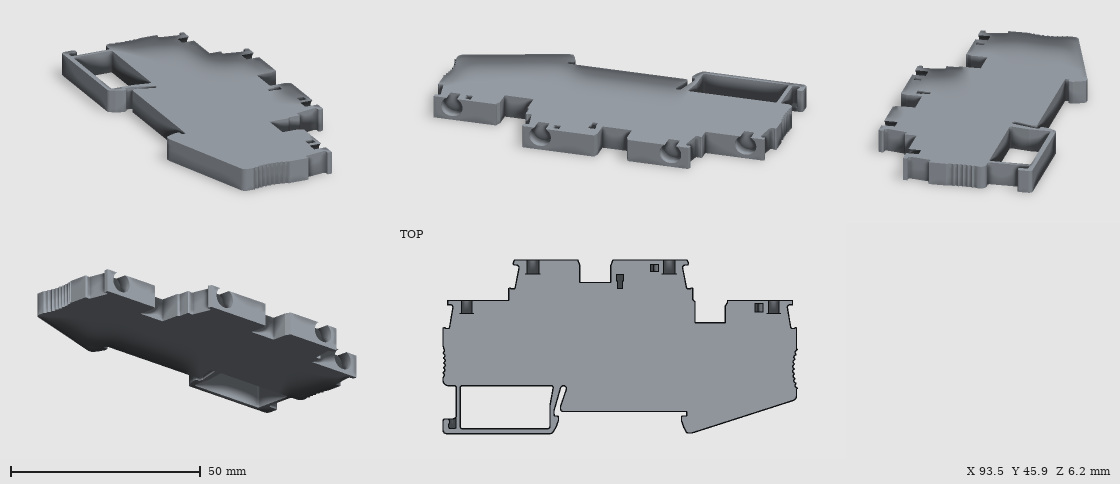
import cadquery as cq
import math

LENGTH = 93.53
HEIGHT = 45.85
THICKNESS = 6.2
FLOOR = 1.1

UPPER_TIER = HEIGHT
LOWER_TIER = 35.18
UPPER_SHOULDER = 38.3
TIER_NOTCH_DEPTH = 5.9
NOTCH_LEAD_WIDTH = 0.55
NOTCH_LEAD_DEPTH = 1.5
STEP_CHAMFER_TOP = 35.3
STEP_CHAMFER_BOTTOM = 34.85
SIDE_TOP = 27.84
BODY_BOTTOM = 12.65
RAIL_SEAT = 5.85
CLAW_TOP = 4.72

RIGHT_SIDE = 93.3
UPPER_HOOK_LEFT = 18.45
UPPER_HOOK_RIGHT = 64.84
LOWER_HOOK_LEFT = 1.22
LOWER_HOOK_RIGHT = 92.25
STEP_LEFT = 17.35
STEP_RIGHT = 65.95
UPPER_NOTCH = (36.15, 44.25)
LOWER_NOTCH = (66.5, 74.45)
CLAW_LEFT = 30.5
CLAW_RIGHT = 62.86
SEAT_LEFT = 31.0
SEAT_RIGHT = 64.3

SLOPE_BOTTOM = 0.2
SLOPE_START = 65.75
SLOPE_END_LEVEL = 9.05
SLOPE_TOE_RADIUS = 0.6
SLOPE_START_RADIUS = 0.8
SLOPE_END_RADIUS = 1.5

FOOT_WALL = (3.5, 4.6)
FOOT_BAR = 1.37
FOOT_INNER_RIGHT = 28.18
FOOT_KINK = 7.33
FOOT_LEAN = 0.97
FOOT_CORNER = 0.5
TOE_TOP = 3.94
TOE_LIP = 1.42
TOE_BULGE = 0.3
TOE_BULGE_LEVELS = (3.84, 3.54, 2.84, 2.34)
TOE_BULGE_RADIUS = 0.2
TOE_ROOT_RADIUS = 0.7
TOE_FILLET = 0.9
TOE_CORNER = 0.6
FOOT_OUTER_CORNER = 1.0
FOOT_BAR_END = 28.75
BODY_CORNER = 1.5
SLOT_BOTTOM = (29.3, 6.0)
SLOT_TOP = (31.2, 32.85)
SLOT_BEND = 7.3
SLOT_END_RADIUS = 0.75
SEAT_CORNER = 0.7

TOOTH_PITCH = 1.275
TOOTH_DEPTH = 0.62
TOOTH_ROOT_RADIUS = 0.45
LEFT_GRIP_BOTTOM = 16.15
LEFT_GRIP_TEETH = 4
LEFT_GRIP_SAG = 0.15
LEFT_RAMP_BOTTOM = 14.7
LEFT_RAMP_TOP = 23.2
LEFT_RAMP_DEPTH = 0.4
LEFT_RAMP_GAP = 0.6
RIGHT_GRIP_BOTTOM = 12.0
RIGHT_GRIP_TEETH = 8
RIGHT_GRIP_SAG = 0.85
END_TIP_WIDTH = 0.15

ENTRY_FLAT = 0.56
UPPER_ENTRY_DEPTH = 3.65
LOWER_ENTRY_DEPTH = 3.4
UPPER_ENTRY_CHORD = 1.27
LOWER_ENTRY_CHORD = 1.13
UPPER_ENTRIES = (23.75, 59.7)
LOWER_ENTRIES = (6.28, 87.25)

WINDOW_OFFSET = 3.86
WINDOW_WIDTH = 2.1
WINDOW_FLOOR = THICKNESS / 2
WINDOW_SKIN_RADIUS = 4.2
WINDOW_UPPER = (42.75, 44.7)
WINDOW_LOWER = (32.05, 34.3)

POCKET_CENTRE = 46.7
POCKET_LEVELS = (38.3, 40.35, 41.95)
POCKET_STEM_WIDTH = 1.4
POCKET_HEAD_WIDTH = 1.97


def rounded_wire(corners):
    """Closed wire through (x, y) or (x, y, radius) corners, rounding the ones with a radius."""
    stretches = []
    for i, corner in enumerate(corners):
        point = cq.Vector(corner[0], corner[1])
        radius = corner[2] if len(corner) > 2 else 0
        if not radius:
            stretches.append((point,))
            continue
        before = corners[i - 1]
        after = corners[(i + 1) % len(corners)]
        to_before = (cq.Vector(before[0], before[1]) - point).normalized()
        to_after = (cq.Vector(after[0], after[1]) - point).normalized()
        half_angle = to_before.getAngle(to_after) / 2
        setback = radius / math.tan(half_angle)
        bisector = (to_before + to_after).normalized()
        middle = point + bisector * (radius / math.sin(half_angle) - radius)
        stretches.append((point + to_before * setback, middle, point + to_after * setback))

    path = cq.Workplane("XY").moveTo(*stretches[0][-1].toTuple()[:2])
    for stretch in stretches[1:] + stretches[:1]:
        path = path.lineTo(*stretch[0].toTuple()[:2])
        if len(stretch) > 1:
            path = path.threePointArc(stretch[1].toTuple()[:2], stretch[2].toTuple()[:2])
    return path.close()


def prism(corners, bottom, top):
    """Upright solid with the given outline between two heights."""
    return rounded_wire(corners).extrude(top - bottom).translate((0, 0, bottom))


def recess_block(centre, width, levels, floor):
    """Box centred on X = centre, spanning the two Y levels, from a floor height to the top face."""
    block = cq.Workplane("XY").box(
        width, levels[1] - levels[0], THICKNESS - floor, centered=(True, False, False)
    )
    return block.translate((centre, levels[0], floor))


def upper_hook(tip, inward):
    """Latch nose of the upper tier, from its top face down to the shoulder."""
    profile = [
        (0.42, 0.0, 0),
        (0.0, 0.95, 0.15),
        (0.3, 1.4, 0),
        (1.74, 1.4, 0.6),
        (0.52, 7.6, 0.3),
        (-0.5, 7.55, 0),
        (-0.75, 7.3, 0.15),
    ]
    return [(tip + inward * dx, UPPER_TIER - drop, radius) for dx, drop, radius in profile]


def lower_hook(tip, inward):
    """Latch nose of the lower tier, from its top face down to the side shoulder."""
    profile = [
        (0.0, 0.0, 0),
        (0.0, 1.2, 0),
        (1.5, 1.2, 0.6),
        (0.45, 7.4, 0.3),
        (-0.5, 7.4, 0),
        (-0.75, 7.1, 0.15),
    ]
    return [(tip + inward * dx, LOWER_TIER - drop, radius) for dx, drop, radius in profile]


def claw(nose, inward):
    """Rail claw from the slot above it down to its toe."""
    profile = [
        (1.1, CLAW_TOP, 0),
        (0.0, CLAW_TOP, 0.45),
        (0.0, 3.5, 0.5),
        (0.65, 1.7, 0.8),
    ]
    return [(nose + inward * dx, y, radius) for dx, y, radius in profile]


def grip(side, inward, bottom, teeth, sag):
    """Zigzag whose tips lie on a shallow hollow of the given sag, from bottom to top."""
    points = []
    for half_step in range(2 * teeth + 1):
        position = half_step / teeth - 1
        hollow = sag * (1 - position ** 2)
        is_root = half_step % 2 == 1
        x = side + inward * (hollow + (TOOTH_DEPTH if is_root else 0))
        points.append((x, bottom + half_step * TOOTH_PITCH / 2, TOOTH_ROOT_RADIUS if is_root else 0))
    return points


def plate_outline():
    """Whole outer outline, counterclockwise from the left end of the upper tier."""
    left_top = upper_hook(UPPER_HOOK_LEFT, 1)
    right_top = upper_hook(UPPER_HOOK_RIGHT, -1)
    left_low = lower_hook(LOWER_HOOK_LEFT, 1)
    right_low = lower_hook(LOWER_HOOK_RIGHT, -1)
    left_grip = grip(0, 1, LEFT_GRIP_BOTTOM, LEFT_GRIP_TEETH, LEFT_GRIP_SAG)
    right_grip = grip(LENGTH, -1, RIGHT_GRIP_BOTTOM, RIGHT_GRIP_TEETH, RIGHT_GRIP_SAG)
    upper_notch_floor = UPPER_TIER - TIER_NOTCH_DEPTH
    lower_notch_floor = LOWER_TIER - TIER_NOTCH_DEPTH

    corners = []
    corners += left_top
    corners += [(STEP_LEFT, UPPER_SHOULDER), (STEP_LEFT, LOWER_TIER)]
    corners += left_low
    corners += [(0, SIDE_TOP)]
    corners += [(0, LEFT_RAMP_TOP), (LEFT_RAMP_DEPTH, left_grip[-1][1] + LEFT_RAMP_GAP)]
    corners += left_grip[::-1]
    corners += [(LEFT_RAMP_DEPTH, LEFT_GRIP_BOTTOM - LEFT_RAMP_GAP), (0, LEFT_RAMP_BOTTOM)]
    corners += [(0, BODY_BOTTOM, BODY_CORNER), (FOOT_WALL[0], BODY_BOTTOM, FOOT_CORNER)]
    corners += [(FOOT_WALL[0], TOE_TOP, TOE_FILLET), (0, TOE_TOP, TOE_CORNER)]
    corners += [(0, 0, FOOT_OUTER_CORNER), (FOOT_BAR_END, 0, FOOT_OUTER_CORNER)]
    corners += claw(CLAW_LEFT, -1)[::-1]
    corners += [SLOT_BOTTOM]
    corners += [(x, BODY_BOTTOM, SLOT_END_RADIUS) for x in SLOT_TOP]
    corners += [(SEAT_LEFT, SLOT_BEND), (SEAT_LEFT, RAIL_SEAT, SEAT_CORNER)]
    corners += [(SEAT_RIGHT, RAIL_SEAT), (SEAT_RIGHT, CLAW_TOP)]
    corners += claw(CLAW_RIGHT, 1)[1:]
    corners += [(SEAT_RIGHT, SLOPE_BOTTOM, SLOPE_TOE_RADIUS)]
    corners += [(SLOPE_START, SLOPE_BOTTOM, SLOPE_START_RADIUS)]
    corners += [(RIGHT_SIDE, SLOPE_END_LEVEL, SLOPE_END_RADIUS)]
    corners += [(RIGHT_SIDE, RIGHT_GRIP_BOTTOM - END_TIP_WIDTH)]
    corners += right_grip
    corners += [(RIGHT_SIDE, right_grip[-1][1] + END_TIP_WIDTH), (RIGHT_SIDE, SIDE_TOP)]
    corners += right_low[::-1]
    corners += [(LOWER_NOTCH[1] + NOTCH_LEAD_WIDTH, LOWER_TIER)]
    corners += [(LOWER_NOTCH[1] + NOTCH_LEAD_WIDTH, LOWER_TIER - NOTCH_LEAD_WIDTH)]
    corners += [(LOWER_NOTCH[1], LOWER_TIER - NOTCH_LEAD_DEPTH)]
    corners += [(LOWER_NOTCH[1], lower_notch_floor), (LOWER_NOTCH[0], lower_notch_floor)]
    corners += [(LOWER_NOTCH[0], STEP_CHAMFER_BOTTOM), (STEP_RIGHT, STEP_CHAMFER_TOP)]
    corners += [(STEP_RIGHT, UPPER_SHOULDER)]
    corners += right_top[::-1]
    corners += [(UPPER_NOTCH[1] + NOTCH_LEAD_WIDTH, UPPER_TIER)]
    corners += [(UPPER_NOTCH[1], UPPER_TIER - NOTCH_LEAD_DEPTH)]
    corners += [(UPPER_NOTCH[1], upper_notch_floor), (UPPER_NOTCH[0], upper_notch_floor)]
    corners += [(UPPER_NOTCH[0], UPPER_TIER - NOTCH_LEAD_DEPTH)]
    corners += [(UPPER_NOTCH[0] - NOTCH_LEAD_WIDTH, UPPER_TIER)]
    return corners


def foot_opening():
    """Through opening enclosed by the spring foot."""
    corners = [
        (FOOT_WALL[1], BODY_BOTTOM, FOOT_CORNER),
        (FOOT_WALL[1], FOOT_BAR, FOOT_CORNER),
        (FOOT_INNER_RIGHT, FOOT_BAR, FOOT_CORNER),
        (FOOT_INNER_RIGHT, FOOT_KINK),
        (FOOT_INNER_RIGHT + FOOT_LEAN, BODY_BOTTOM, FOOT_CORNER),
    ]
    return prism(corners, 0, THICKNESS)


def toe_recess():
    """Gap between toe and upright wall, open upward, with a thin web left at the bottom."""
    bulge_start, bulge_high, bulge_low, bulge_end = TOE_BULGE_LEVELS
    open_end = TOE_TOP + 2 * TOE_FILLET
    corners = [
        (FOOT_WALL[0], open_end),
        (TOE_LIP, open_end),
        (TOE_LIP, bulge_start),
        (TOE_LIP + TOE_BULGE, bulge_high, TOE_BULGE_RADIUS),
        (TOE_LIP + TOE_BULGE, bulge_low, TOE_BULGE_RADIUS),
        (TOE_LIP, bulge_end, TOE_BULGE_RADIUS),
        (TOE_LIP, FOOT_BAR, TOE_ROOT_RADIUS),
        (FOOT_WALL[0], FOOT_BAR, FOOT_CORNER),
    ]
    return prism(corners, FLOOR, THICKNESS)


def entry_radius(chord):
    """Arc radius that touches the floor level and spans the given half chord at the top face."""
    rise = THICKNESS - FLOOR
    return (rise + chord ** 2 / rise) / 2


def wire_entry(x, tier, depth, chord):
    """Obround bar along Y that starts flush with the tier's edge."""
    radius = entry_radius(chord)
    profile = cq.Workplane("XZ", origin=(x, tier, FLOOR + radius))
    return profile.slot2D(ENTRY_FLAT + 2 * radius, 2 * radius).extrude(depth)


def window(entry_x, levels):
    """Rectangular window beside an entry, with a rounded skin rising from its floor."""
    opening = recess_block(entry_x - WINDOW_OFFSET, WINDOW_WIDTH, levels, WINDOW_FLOOR)
    section = cq.Workplane("XZ", origin=(entry_x, levels[1], THICKNESS / 2))
    skin = section.circle(WINDOW_SKIN_RADIUS).extrude(levels[1] - levels[0])
    return opening.cut(skin)


def tee_pocket():
    """Blind pocket with a narrow stem below a wider head."""
    stem_bottom, head_bottom, head_top = POCKET_LEVELS
    stem = recess_block(POCKET_CENTRE, POCKET_STEM_WIDTH, (stem_bottom, head_top), FLOOR)
    head = recess_block(POCKET_CENTRE, POCKET_HEAD_WIDTH, (head_bottom, head_top), FLOOR)
    return stem.union(head)


result = prism(plate_outline(), 0, THICKNESS)
result = result.cut(foot_opening()).cut(toe_recess()).cut(tee_pocket())
for entry_x in UPPER_ENTRIES:
    result = result.cut(wire_entry(entry_x, UPPER_TIER, UPPER_ENTRY_DEPTH, UPPER_ENTRY_CHORD))
for entry_x in LOWER_ENTRIES:
    result = result.cut(wire_entry(entry_x, LOWER_TIER, LOWER_ENTRY_DEPTH, LOWER_ENTRY_CHORD))
result = result.cut(window(UPPER_ENTRIES[1], WINDOW_UPPER))
result = result.cut(window(LOWER_ENTRIES[1], WINDOW_LOWER))